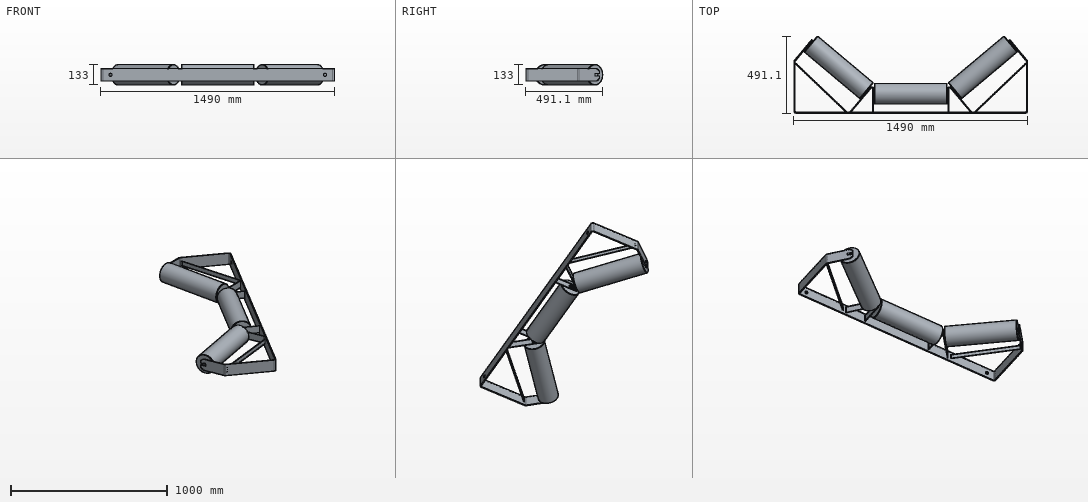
import cadquery as cq
import math

frame_length = 1490.0
overall_height = 491.14
frame_width = 80.0
frame_thickness = 8.0
frame_bend_radius = 14.0
trough_angle = 40.0

roller_diameter = 133.0
roller_length = 465.0
roller_rim_chamfer_length = 4.0
roller_rim_chamfer_depth = 3.0
shaft_diameter = 24.0
shaft_flat_width = 14.0

center_roller_height = 125.0
wing_roller_offset = 459.6
outer_gap = 5.0
inner_gap = 5.0

arm_tip_beyond_axis = 25.0
tip_chamfer_along = 20.0
tip_chamfer_across = 15.0
bracket_thickness = 6.0
bracket_bend_radius = 8.0
bracket_width = 50.0
bracket_top = 168.0

brace_thickness = 6.0
brace_width = 32.0
brace_base_x = 405.6
brace_side_height = 324.0

mount_hole_diameter = 20.0
mount_hole_offset = 684.0

half_length = frame_length / 2
side_inner = half_length - frame_thickness
roller_radius = roller_diameter / 2
half_roller = roller_length / 2
rim_radius = roller_radius - roller_rim_chamfer_depth
cos_t = math.cos(math.radians(trough_angle))
sin_t = math.sin(math.radians(trough_angle))
wing_roller_height = overall_height - half_roller * sin_t - rim_radius * cos_t

arm_inner = half_roller + outer_gap
arm_outer = arm_inner + frame_thickness
bracket_near = half_roller + inner_gap
bracket_far = bracket_near + bracket_thickness


def wing_point(along, across):
    """Point in the right wing roller's frame: along its axis outward, across it upward."""
    x = wing_roller_offset + along * cos_t - across * sin_t
    y = wing_roller_height + along * sin_t + across * cos_t
    return (x, y)


def wing_point_at_height(along, height):
    """Point of the right wing's plane 'along' the axis that lies at the given height."""
    across = (height - wing_roller_height - along * sin_t) / cos_t
    return wing_point(along, across)


def wing_point_at_x(along, x):
    """Point of the right wing's plane 'along' the axis that lies at the given X."""
    across = (wing_roller_offset + along * cos_t - x) / sin_t
    return wing_point(along, across)


def strap(points, width):
    """Prism of the given width along Z, centred on Z = 0, from an XY outline."""
    return cq.Workplane("XY").polyline(points).close().extrude(width / 2, both=True)


def round_bends(body, points, radius):
    """Round the edges parallel to Z that pass through the given XY points."""
    for x, y in points:
        body = body.edges(cq.selectors.NearestToPointSelector((x, y, 0))).fillet(radius)
    return body


def mirrored_points(points):
    """The same XY points on the -X side."""
    return [(-x, y) for x, y in points]


def mirrored(body):
    """The same body on the -X side."""
    return body.mirror("YZ")


def at_wing(body):
    """Move a body built along X about the origin onto the right wing roller's axis."""
    tilted = body.rotate((0, 0, 0), (0, 0, 1), trough_angle)
    return tilted.translate((wing_roller_offset, wing_roller_height, 0))


def at_center(body):
    """Move a body built along X about the origin onto the center roller's axis."""
    return body.translate((0, center_roller_height, 0))


def flatted_shaft(start, length):
    """Length of shaft along X, starting at X = start, with flats facing +Z and -Z."""
    flats = cq.Workplane("XY").box(2 * roller_length, roller_diameter, shaft_flat_width)
    shaft = cq.Workplane("YZ", origin=(start, 0, 0)).circle(shaft_diameter / 2).extrude(length)
    return shaft.intersect(flats)


def shaft_slot(start, end):
    """Slot that fits the flatted shaft end and is open towards +Y, between two X positions."""
    length = end - start
    reach = roller_diameter
    mouth = cq.Workplane("XY", origin=(start, 0, 0)).box(
        length, reach, shaft_flat_width, centered=(False, False, True)
    )
    return flatted_shaft(start, length).union(mouth)


def tip_corners(start, end):
    """Two wedges that chamfer the tip corners of a frame arm, between two X positions."""
    tip = arm_tip_beyond_axis
    wedges = cq.Workplane("YZ", origin=(start, 0, 0))
    for side in (1, -1):
        wedges = (
            wedges.moveTo(tip, side * frame_width / 2)
            .lineTo(tip - tip_chamfer_along, side * frame_width / 2)
            .lineTo(tip, side * (frame_width / 2 - tip_chamfer_across))
            .close()
        )
    return wedges.extrude(end - start)


def make_frame():
    inner_radius = frame_bend_radius - frame_thickness
    outer = [
        (half_length, 0),
        wing_point_at_x(arm_outer, half_length),
        wing_point(arm_outer, arm_tip_beyond_axis),
    ]
    inner = [
        wing_point(arm_inner, arm_tip_beyond_axis),
        wing_point_at_x(arm_inner, side_inner),
        (side_inner, frame_thickness),
    ]
    right_side = outer + inner
    body = strap(right_side + mirrored_points(right_side[::-1]), frame_width)
    outer_bends = outer[:2]
    inner_bends = inner[1:]
    body = round_bends(body, outer_bends + mirrored_points(outer_bends), frame_bend_radius)
    body = round_bends(body, inner_bends + mirrored_points(inner_bends), inner_radius)

    tip_cut = at_wing(shaft_slot(arm_inner, arm_outer).union(tip_corners(arm_inner, arm_outer)))
    body = body.cut(tip_cut).cut(mirrored(tip_cut))

    holes = (
        cq.Workplane("XZ")
        .pushPoints([(-mount_hole_offset, 0), (mount_hole_offset, 0)])
        .circle(mount_hole_diameter / 2)
        .extrude(-frame_thickness)
    )
    return body.cut(holes)


def make_bracket():
    underside = bracket_top - bracket_thickness
    outer_bends = [
        (bracket_near, bracket_top),
        wing_point_at_height(-bracket_near, bracket_top),
    ]
    inner_bends = [
        wing_point_at_height(-bracket_far, underside),
        (bracket_far, underside),
    ]
    wing_foot = [
        wing_point_at_height(-bracket_near, frame_thickness),
        wing_point_at_height(-bracket_far, frame_thickness),
    ]
    center_foot = [
        (bracket_far, frame_thickness),
        (bracket_near, frame_thickness),
    ]
    body = strap(outer_bends + wing_foot + inner_bends + center_foot, bracket_width)
    body = round_bends(body, outer_bends, bracket_bend_radius)
    body = round_bends(body, inner_bends, bracket_bend_radius - bracket_thickness)
    body = body.cut(at_center(shaft_slot(bracket_near, bracket_far)))
    body = body.cut(at_wing(shaft_slot(-bracket_far, -bracket_near)))
    return body


def make_brace():
    run = side_inner - brace_base_x
    rise = brace_side_height - frame_thickness
    slant = math.hypot(run, rise)
    return strap([
        (brace_base_x, frame_thickness),
        (side_inner, brace_side_height),
        (side_inner, brace_side_height - brace_thickness * slant / run),
        (brace_base_x + brace_thickness * slant / rise, frame_thickness),
    ], brace_width)


def make_roller(left_reach, right_reach):
    """Roller along X; each reach gives the near and far face of the strap that holds that end."""
    shoulder = half_roller - roller_rim_chamfer_length
    roller = (
        cq.Workplane("XY")
        .moveTo(-half_roller, 0)
        .lineTo(-half_roller, rim_radius)
        .lineTo(-shoulder, roller_radius)
        .lineTo(shoulder, roller_radius)
        .lineTo(half_roller, rim_radius)
        .lineTo(half_roller, 0)
        .close()
        .revolve(360, (0, 0, 0), (1, 0, 0))
    )
    for side, (near, far) in ((-1, left_reach), (1, right_reach)):
        journal = cq.Workplane("YZ").circle(shaft_diameter / 2).extrude(side * near)
        flatted_end = flatted_shaft(0, side * far)
        roller = roller.union(journal).union(flatted_end)
    return roller


frame = make_frame()
bracket = make_bracket()
brace = make_brace()
bracket_reach = (bracket_near, bracket_far)
arm_reach = (arm_inner, arm_outer)
center_roller = at_center(make_roller(bracket_reach, bracket_reach))
wing_roller = at_wing(make_roller(bracket_reach, arm_reach))

bodies = [frame.val(), center_roller.val()]
for body in (bracket, brace, wing_roller):
    bodies += [body.val(), mirrored(body).val()]

result = cq.Compound.makeCompound(bodies)